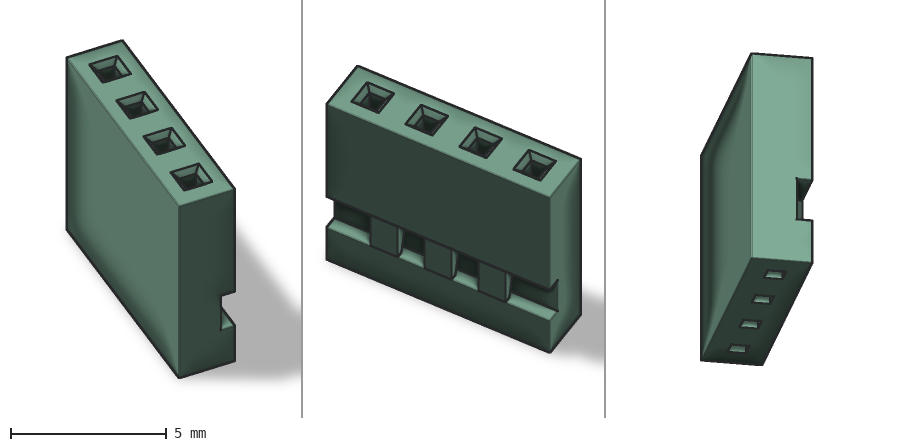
import cadquery as cq

pitch = 2.0
socket_count = 4
length = 8.3
thickness = pitch
height = 7.2
edge_radius = 0.03

bore_side = 0.6
funnel_depth = 0.2
funnel_side = bore_side + 2 * funnel_depth

slot_bottom = 1.5
slot_height = 1.4
slot_depth = 0.5
slot_top = slot_bottom + slot_height

tongue_width = pitch / 2
tongue_tip = 0.25
tongue_root_height = 0.2

rear_face = thickness / 2
slot_wall = rear_face - slot_depth


def row(count):
    """X positions of a centred row at the socket pitch."""
    return [(i - (count - 1) / 2) * pitch for i in range(count)]


def make_socket(x):
    """Square bore through the full height, opening into a pyramid-shaped lead-in at the top."""
    bore = cq.Workplane("XY").center(x, 0).rect(bore_side, bore_side).extrude(height)
    funnel = (
        cq.Workplane("XY", origin=(x, 0, height - funnel_depth))
        .rect(bore_side, bore_side)
        .workplane(offset=funnel_depth)
        .rect(funnel_side, funnel_side)
        .loft(combine=True)
    )
    return bore.union(funnel)


def make_housing():
    """Edge-rounded block with a slot along the +Y face and a row of vertical sockets."""
    block = cq.Workplane("XY").box(length, thickness, height, centered=(True, True, False))
    slot = cq.Workplane("XY", origin=(0, slot_wall, slot_bottom)).box(
        length, slot_depth, slot_height, centered=(True, False, False)
    )
    body = block.cut(slot)
    body = body.faces("<X or >X or <Y or >Y or <Z or >Z").edges().fillet(edge_radius)
    for x in row(socket_count):
        body = body.cut(make_socket(x))
    return body


def make_tongue(x):
    """Wedge filling the slot at its ceiling and tapering towards its floor."""
    return (
        cq.Workplane("YZ", origin=(x, 0, 0))
        .moveTo(rear_face, slot_bottom)
        .lineTo(rear_face, slot_top)
        .lineTo(slot_wall, slot_top)
        .lineTo(slot_wall, slot_top - tongue_root_height)
        .lineTo(rear_face - tongue_tip, slot_bottom)
        .close()
        .extrude(tongue_width / 2, both=True)
    )


housing = make_housing()

tongues = [make_tongue(x) for x in row(socket_count - 1)]

result = cq.Compound.makeCompound([housing.val(), *[tongue.val() for tongue in tongues]])